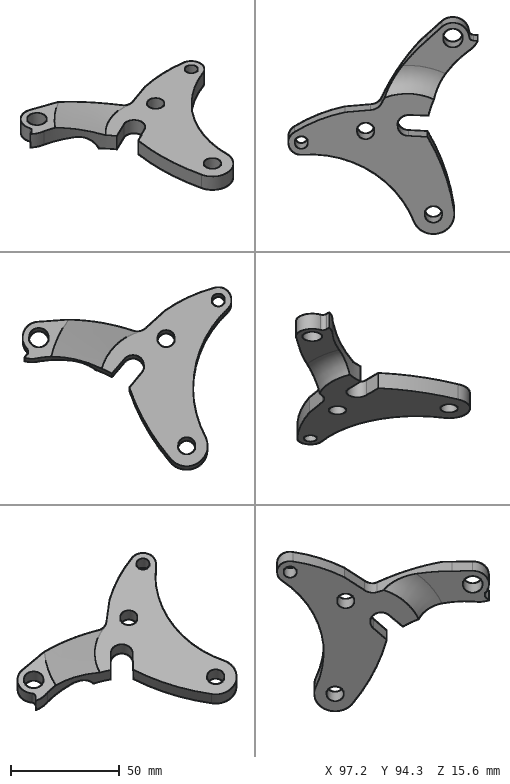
import cadquery as cq
import math

total_height = 15.6
thickness = 8.0
step_height = total_height - thickness

pivot_hole_diameter = 8.0
top_ear = (0, 30.0)
top_ear_radius = 6.0
top_hole_diameter = 6.0
side_ear = (45.9, -22.8)
side_ear_radius = 9.6
side_hole_diameter = 8.0
arm_ear = (-34.2, -47.3)
arm_ear_radius = 7.5
arm_hole_diameter = 9.0

slot_center = (1.1, -19.8)
slot_radius = 5.1
slot_tilt = 12.4
slot_left_corner = (-1.8, -29.7)
slot_right_corner = (8.2, -27.3)

bend_axis = (14.0, -16.7)
slope_inner_radius = 25.7
slope_outer_radius = 49.1
underside_outer_radius = 39.9
underside_round = 12.0
bend_start = 160
bend_sector = 80
outer_reach = 97.2


def around(center, radius, degrees):
    """Point on a circle, at an angle measured from +X."""
    angle = math.radians(degrees)
    return (center[0] + radius * math.cos(angle), center[1] + radius * math.sin(angle))


def make_outline():
    """Full-height prism of the outline, traced clockwise from the top ear."""
    outline = cq.Workplane("XY").moveTo(*around(top_ear, top_ear_radius, 159))
    outline = (
        outline.threePointArc(around(top_ear, top_ear_radius, 90), around(top_ear, top_ear_radius, 10))
        .threePointArc((19.8, 1.4), around(side_ear, side_ear_radius, 77.5))
        .threePointArc(around(side_ear, side_ear_radius, 0), around(side_ear, side_ear_radius, -90))
        .threePointArc((20.6, -30.6), slot_right_corner)
    )
    outline = (
        outline.lineTo(*around(slot_center, slot_radius, slot_tilt))
        .threePointArc(
            around(slot_center, slot_radius, slot_tilt + 90),
            around(slot_center, slot_radius, slot_tilt + 180),
        )
        .lineTo(*slot_left_corner)
    )
    outline = (
        outline.threePointArc((-13.4, -36.8), (-26.6, -53.2))
        .threePointArc((-28.3, -56.0), (-30.7, -58.3))
        .lineTo(-31.3, -56.3)
        .threePointArc((-31.9, -55.3), around(arm_ear, arm_ear_radius, -84))
        .threePointArc(around(arm_ear, arm_ear_radius, 210), around(arm_ear, arm_ear_radius, 147))
    )
    outline = (
        outline.lineTo(-35.4, -35.4)
        .threePointArc((-22.9, -19.4), (-11.6, -9.5))
        .threePointArc((-9.9, -7.1), (-9.6, -4.1))
        .lineTo(-10.8, 7.6)
        .threePointArc((-9.9, 16.8), around(top_ear, top_ear_radius, 159))
        .close()
    )
    return outline.extrude(total_height)


def sweep_about_bend(profile, start, sweep):
    """Revolve a radius/height profile about the bend axis, over a sector."""
    sector = profile.revolve(sweep, (0, 0, 0), (0, 1, 0))
    sector = sector.rotate((0, 0, 0), (0, 0, 1), start)
    return sector.translate((*bend_axis, 0))


def make_layers():
    """Height envelope: stepped in the sector of the arm, flat elsewhere."""
    round_center_height = step_height - underside_round
    round_center = (underside_outer_radius, round_center_height)
    round_mid_angle = 120
    underside_inner_radius = underside_outer_radius - math.sqrt(underside_round**2 - round_center_height**2)
    stepped = (
        cq.Workplane("XZ")
        .lineTo(0, thickness)
        .lineTo(slope_inner_radius, thickness)
        .lineTo(slope_outer_radius, total_height)
        .lineTo(outer_reach, total_height)
        .lineTo(outer_reach, step_height)
        .lineTo(underside_outer_radius, step_height)
        .threePointArc(around(round_center, underside_round, round_mid_angle), (underside_inner_radius, 0))
        .close()
    )
    flat = cq.Workplane("XZ").rect(outer_reach, thickness, centered=False)
    arm_layer = sweep_about_bend(stepped, bend_start, bend_sector)
    plate_layer = sweep_about_bend(flat, bend_start + bend_sector, 360 - bend_sector)
    return arm_layer.union(plate_layer)


def drill(body, center, diameter):
    hole = cq.Workplane("XY").center(*center).circle(diameter / 2).extrude(total_height)
    return body.cut(hole)


result = make_outline().intersect(make_layers())
for hole_center, hole_diameter in (
    ((0, 0), pivot_hole_diameter),
    (top_ear, top_hole_diameter),
    (side_ear, side_hole_diameter),
    (arm_ear, arm_hole_diameter),
):
    result = drill(result, hole_center, hole_diameter)